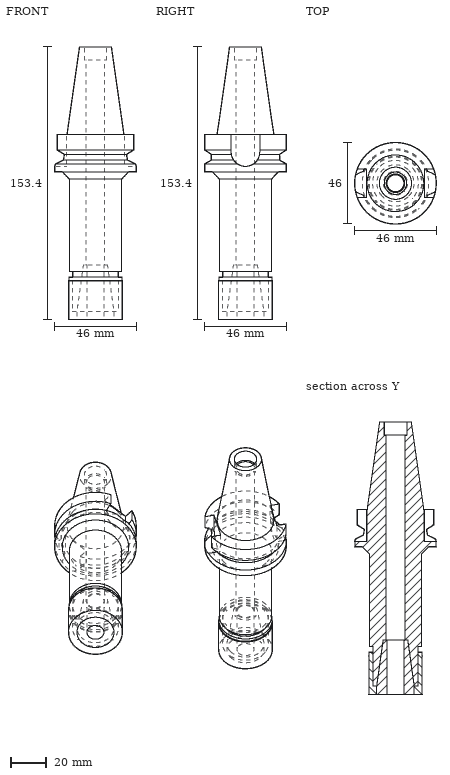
import cadquery as cq
import math

total_height = 153.4
taper_top_radius = 9.0
taper_base_radius = 16.0
taper_base_z = 105.1

flange_radius = 23.0
flange_top_z = 104.2
upper_rim_bottom_z = 95.4
groove_radius = 19.3
groove_top_z = 93.0
groove_bottom_z = 89.7
lower_rim_top_z = 87.6
flange_bottom_z = 83.1
slot_width = 16.1
slot_floor_x = 16.3
slot_bottom_z = 86.2

flange_cone_radius = 18.7
shank_radius = 14.7
shank_top_z = 79.0
shank_bottom_z = 27.0
neck_radius = 12.9

bore_radius = 5.2
mouth_radius = 6.3
mouth_depth = 7.4

nut_radius = 15.2
collar_radius = 15.0
nut_top_z = 24.0
collar_bottom_z = 22.1
nut_shoulder_z = 21.6
nut_face_thickness = 4.6

collet_radius = 10.5
collet_bore_radius = 4.8
collet_length = 30.7
collet_half_angle = 8.0
collet_cone_length = collet_length - nut_face_thickness
collet_tip_radius = collet_radius - collet_cone_length * math.tan(math.radians(collet_half_angle))


def revolve_profile(points):
    """Turn a closed (radius, z) outline about the Z axis."""
    return cq.Workplane("XZ").polyline(points).close().revolve(360, (0, 0, 0), (0, 1, 0))


def cylinder(radius, bottom_z, top_z):
    return cq.Workplane("XY").workplane(offset=bottom_z).circle(radius).extrude(top_z - bottom_z)


def make_collet_blank():
    """Outer form of the collet, also used to cut its seats."""
    return revolve_profile([
        (0, 0),
        (collet_radius, 0),
        (collet_radius, nut_face_thickness),
        (collet_tip_radius, collet_length),
        (0, collet_length),
    ])


def make_drive_slot(side):
    """Round-bottomed slot cutter, on the +X side for side=1 and the -X side for side=-1."""
    half_width = slot_width / 2
    arc_center_z = slot_bottom_z + half_width
    depth = flange_radius - slot_floor_x
    return (
        cq.Workplane("YZ", origin=(side * slot_floor_x, 0, 0))
        .moveTo(-half_width, flange_top_z)
        .lineTo(-half_width, arc_center_z)
        .threePointArc((0, slot_bottom_z), (half_width, arc_center_z))
        .lineTo(half_width, flange_top_z)
        .close()
        .extrude(side * depth)
    )


def make_holder():
    holder = revolve_profile([
        (0, nut_face_thickness),
        (neck_radius, nut_face_thickness),
        (neck_radius, shank_bottom_z),
        (shank_radius, shank_bottom_z),
        (shank_radius, shank_top_z),
        (flange_cone_radius, flange_bottom_z),
        (flange_radius, flange_bottom_z),
        (flange_radius, lower_rim_top_z),
        (groove_radius, groove_bottom_z),
        (groove_radius, groove_top_z),
        (flange_radius, upper_rim_bottom_z),
        (flange_radius, flange_top_z),
        (taper_base_radius, flange_top_z),
        (taper_base_radius, taper_base_z),
        (taper_top_radius, total_height),
        (0, total_height),
    ])
    for side in (-1, 1):
        holder = holder.cut(make_drive_slot(side))
    holder = holder.cut(cylinder(bore_radius, 0, total_height))
    holder = holder.cut(cylinder(mouth_radius, total_height - mouth_depth, total_height))
    return holder.cut(make_collet_blank())


def make_nut():
    return revolve_profile([
        (collet_radius, 0),
        (nut_radius, 0),
        (nut_radius, nut_shoulder_z),
        (collar_radius, collar_bottom_z),
        (collar_radius, nut_top_z),
        (neck_radius, nut_top_z),
        (neck_radius, nut_face_thickness),
        (collet_radius, nut_face_thickness),
    ])


def make_collet():
    return make_collet_blank().cut(cylinder(collet_bore_radius, 0, collet_length))


holder = make_holder()
nut = make_nut()
collet = make_collet()
result = cq.Compound.makeCompound([holder.val(), nut.val(), collet.val()])